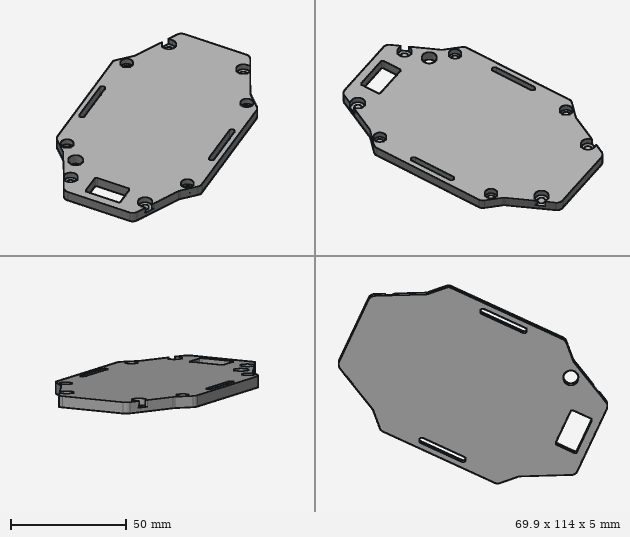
import cadquery as cq

length = 114.0
width = 69.9
thickness = 5.0
end_half_width = 16.9
waist_x = 27.9
waist_y = 35.0
shoulder_y = 27.9
outline_radius = 3.0

seat_depth = 3.0
seat_floor = thickness - seat_depth
mark_diameter = 3.3
mark_depth = 0.06
inner_seat_diameter = 5.6
inner_seat_x = 29.1
inner_seat_y = 29.1
outer_seat_diameter = 6.3
outer_seat_x = 18.0
outer_seat_y = 48.0

mouth_reach = 4.6
mouth_flare = 1.7

slot_length = 22.1
slot_width = 2.4
slot_x = 31.4
cable_hole_diameter = 6.5
cable_hole_x = -21.0
cable_hole_y = -37.0
window_width = 16.8
window_height = 10.0
window_y = -48.2
window_radius = 0.8

QUADRANTS = [(1, 1), (-1, 1), (-1, -1), (1, -1)]


def in_quadrants(x, y):
    """The point (x, y) repeated in all four quadrants."""
    return [(sx * x, sy * y) for sx, sy in QUADRANTS]


def plane_at(z):
    """Horizontal sketch plane at height z."""
    return cq.Workplane("XY").workplane(offset=z)


def plate():
    quarter = [(width / 2, shoulder_y), (waist_x, waist_y), (end_half_width, length / 2)]
    outline = []
    for sx, sy in QUADRANTS:
        run = quarter if sx * sy > 0 else quarter[::-1]
        outline += [(sx * x, sy * y) for x, y in run]
    blank = cq.Workplane("XY").polyline(outline).close().extrude(thickness)
    return blank.edges("|Z").fillet(outline_radius)


def seats(x, y, diameter):
    """Four round pockets with their screw marks."""
    centers = in_quadrants(x, y)
    pockets = plane_at(seat_floor).pushPoints(centers).circle(diameter / 2).extrude(seat_depth)
    marks = plane_at(seat_floor - mark_depth).pushPoints(centers).circle(mark_diameter / 2)
    return pockets.union(marks.extrude(mark_depth))


def seat_mouths():
    """Openings from the outer seats out through the slanted sides, flaring toward the waist."""
    radius = outer_seat_diameter / 2
    corners = [(0, 0), (radius, 0), (mouth_reach, -mouth_flare), (mouth_reach, radius), (0, radius)]
    mouths = cq.Workplane("XY")
    for sx, sy in QUADRANTS:
        points = [(sx * (outer_seat_x + dx), sy * (outer_seat_y + dy)) for dx, dy in corners]
        mouths = mouths.union(plane_at(seat_floor).polyline(points).close().extrude(seat_depth))
    return mouths


def strap_slots():
    centers = [(-slot_x, 0), (slot_x, 0)]
    return plane_at(0).pushPoints(centers).slot2D(slot_length, slot_width, 90).extrude(thickness)


def cable_hole():
    return plane_at(0).center(cable_hole_x, cable_hole_y).circle(cable_hole_diameter / 2).extrude(thickness)


def window():
    block = plane_at(0).center(0, window_y).rect(window_width, window_height).extrude(thickness)
    return block.edges("|Z").fillet(window_radius)


result = (
    plate()
    .cut(seats(inner_seat_x, inner_seat_y, inner_seat_diameter))
    .cut(seats(outer_seat_x, outer_seat_y, outer_seat_diameter))
    .cut(seat_mouths())
    .cut(strap_slots())
    .cut(cable_hole())
    .cut(window())
)